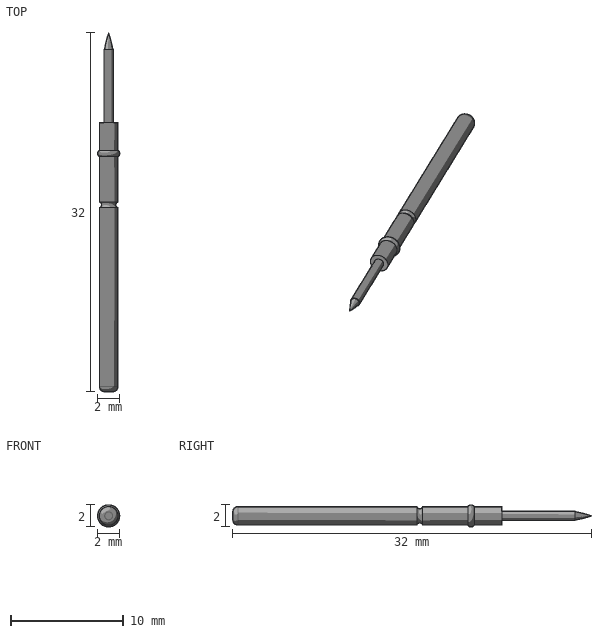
import cadquery as cq

total_length = 32.0

tip_length = 1.47
tip_base_radius = 0.4
tip_middle_radius = 0.22
plunger_diameter = 0.85
plunger_radius = plunger_diameter / 2

barrel_start = 8.0
barrel_radius = 0.83
end_round = 0.48

ring_center = 10.75
ring_half_width = 0.3
ring_radius = 1.0

groove_center = 15.33
groove_half_width = 0.25
groove_floor_radius = 0.65

def rounded_band(profile, center, half_width, crest_radius):
    """Extend the barrel outline to a bead or groove, then follow its circular arc."""
    return profile.lineTo(barrel_radius, -(center - half_width)).threePointArc(
        (crest_radius, -center), (barrel_radius, -(center + half_width))
    )

half_section = (
    cq.Workplane("XY")
    .moveTo(0, 0)
    .threePointArc((tip_middle_radius, -tip_length / 2), (tip_base_radius, -tip_length))
    .lineTo(plunger_radius, -tip_length)
    .lineTo(plunger_radius, -barrel_start)
    .lineTo(barrel_radius, -barrel_start)
)
half_section = rounded_band(half_section, ring_center, ring_half_width, ring_radius)
half_section = rounded_band(half_section, groove_center, groove_half_width, groove_floor_radius)
half_section = (
    half_section
    .lineTo(barrel_radius, end_round - total_length)
    .radiusArc((barrel_radius - end_round, -total_length), end_round)
    .lineTo(0, -total_length)
    .close()
)

result = half_section.revolve(360, (0, 0, 0), (0, 1, 0))